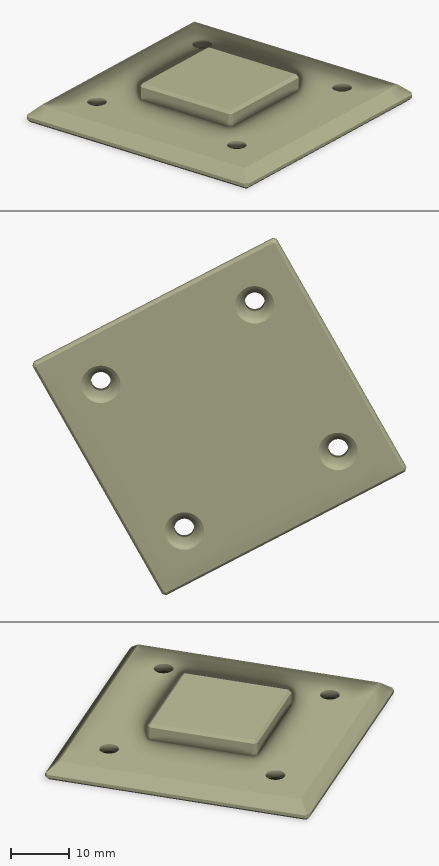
import cadquery as cq

plate_side = 47.6
plate_thickness = 3.0
bevel_width = 2.0
bevel_height = 1.9

pad_side = 19.8
pad_height = 3.0

hole_diameter = 3.4
hole_spacing = 30.0
countersink_depth = 1.65

edge_break = 0.5


def bevelled_plate():
    """Plate with chamfered corners and bottom edges and a wide bevel around its top face."""
    rim_height = plate_thickness - bevel_height
    rim = cq.Workplane("XY").rect(plate_side, plate_side).extrude(rim_height)

    top_side = plate_side - 2 * bevel_width
    bevel = (
        cq.Workplane("XY", origin=(0, 0, rim_height))
        .rect(plate_side, plate_side)
        .workplane(offset=bevel_height)
        .rect(top_side, top_side)
        .loft(ruled=True)
    )

    envelope = (
        cq.Workplane("XY")
        .rect(plate_side, plate_side)
        .extrude(plate_thickness)
        .edges("|Z")
        .chamfer(edge_break)
        .faces("<Z")
        .edges()
        .chamfer(edge_break)
    )
    return rim.union(bevel).intersect(envelope)


def centre_pad():
    """Square pad with chamfered vertical and top edges, standing on the plate."""
    return (
        cq.Workplane("XY", origin=(0, 0, plate_thickness))
        .rect(pad_side, pad_side)
        .extrude(pad_height)
        .edges("|Z or >Z")
        .chamfer(edge_break)
    )


def mounting_holes():
    """Four through holes, each countersunk from below, as one cutting body."""
    hole_radius = hole_diameter / 2
    countersink_radius = hole_radius + countersink_depth
    profile = (
        cq.Workplane("XZ")
        .moveTo(0, 0)
        .lineTo(countersink_radius, 0)
        .lineTo(hole_radius, countersink_depth)
        .lineTo(hole_radius, plate_thickness)
        .lineTo(0, plate_thickness)
        .close()
    )
    cutter = profile.revolve(360, (0, 0, 0), (0, 1, 0)).val()
    return (
        cq.Workplane("XY")
        .rect(hole_spacing, hole_spacing, forConstruction=True)
        .vertices()
        .eachpoint(lambda place: cutter.moved(place))
    )


result = bevelled_plate().union(centre_pad()).cut(mounting_holes())